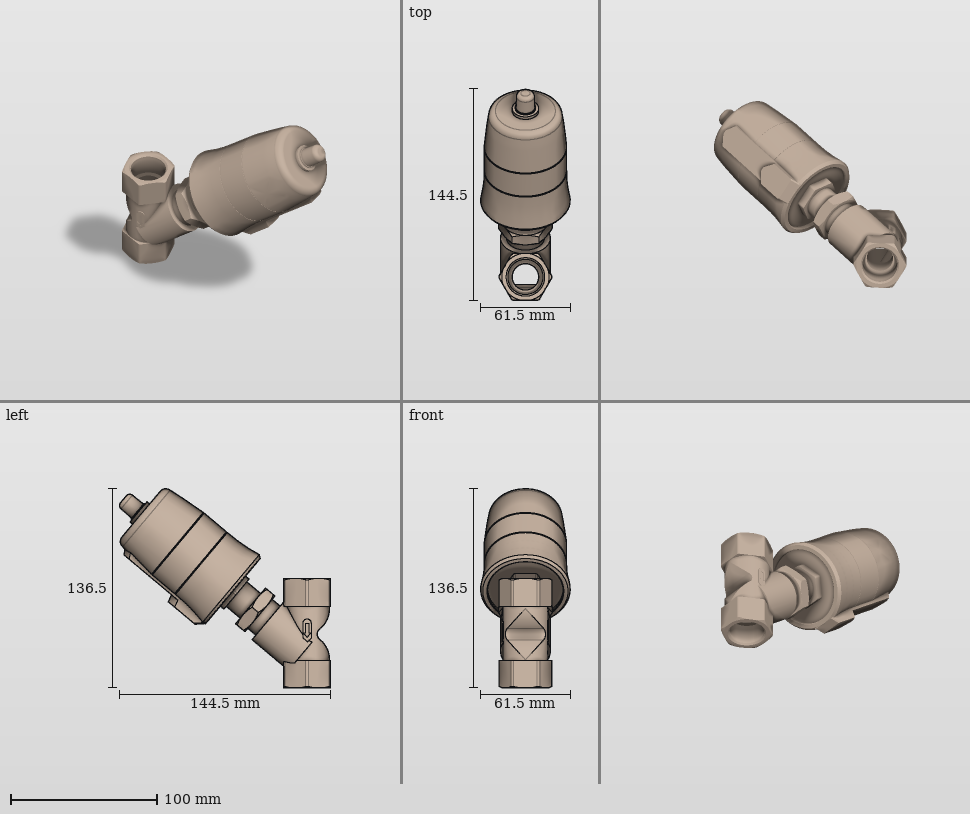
import cadquery as cq
import math

HEX_BEVEL_ANGLE = 30.0
MOUTH_ANGLE = 45.0

VALVE_LENGTH = 75.0
HEX_FLATS = 32.0
HEX_CORNER_FILLET = 2.0
HEX_END_CIRCLE = 32.4
TOP_HEX_LENGTH = 19.2
BOTTOM_HEX_LENGTH = 18.9
CORE_RADIUS = 15.4
BORE_DIAMETER = 18.0
THREAD_DIAMETER = 24.12
THREAD_MOUTH_DIAMETER = 26.4
THREAD_DEPTH = 16.0

WAIST_Z = -0.7
WAIST_HALF_HEIGHT = 17.5
WAIST_SHOULDER_RADIUS = 17.75
WAIST_FLOOR_Y = -7.0
WAIST_VALLEY_Y = -9.0
WAIST_WALL = 1.9

PAD_WIDTH = 5.7
PAD_TOP_Z = 9.7
PAD_POINT_Z = -6.3
PAD_OUTER_X = 15.9
ARROW_TAIL_Z = 6.7
ARROW_BARB_Z = 0.0
ARROW_TIP_Z = -2.9
ARROW_SHAFT_WIDTH = 2.4
ARROW_HEAD_WIDTH = 5.0
ARROW_DEPTH = 0.3

AXIS_RISE_ANGLE = 40.0
AXIS_OFFSET = 10.6

BRANCH_START = -6.6
BRANCH_END = 26.0
NUT_START = 33.2
NUT_END = 41.7
NECK_NUT_START = 54.2
HOUSING_START = 57.4
RIM_EDGE = 59.6
LOWER_JOINT = 86.5
UPPER_JOINT = 107.2
HOUSING_END = 139.5
COLLAR_END = 141.8
SHOULDER_END = 142.6
INDICATOR_END = 155.3

BRANCH_RADIUS = 17.1
BONNET_DIAMETER = 26.0
NECK_DIAMETER = 22.0
NUT_FLATS = 32.0
NECK_NUT_FLATS = 27.0
NECK_NUT_FILLET = 1.7

RIM_RADIUS = 30.75
RIM_FACE_RADIUS = 29.2
BAND_RADIUS = 28.3
CAP_RADIUS = 25.3
CAP_FILLET = 4.75
UPPER_BULGE = 0.3
LOWER_SAG = 0.75
JOINT_WIDTH = 0.7
JOINT_DEPTH = 0.2
RECESS_DIAMETER = 51.7
RECESS_DEPTH = 2.6
RECESS_CHAMFER = 0.5

COLLAR_DIAMETER = 18.2
SHOULDER_RADIUS = 7.0
INDICATOR_BASE_RADIUS = 6.5
INDICATOR_TIP_RADIUS = 6.1
INDICATOR_FILLET = 3.0

RIDGE_HALF_WIDTH = 8.5
RIDGE_ROOT = 22.0
RIDGE_ROOT_START = 61.0
RIDGE_REACH = 29.0
RIDGE_FOOT_END = 134.5
RIDGE_CREST_END = 130.6
RIDGE_CORNER_LENGTH = 4.2
RIDGE_CORNER_WIDTH = 7.0
BLOCK_REACH = 34.1
BLOCK_CREST_START = 62.6
BLOCK_FOOT_END = 90.0
BLOCK_CREST_END = 86.6
BLOCK_CORNER_LENGTH = 5.5
BLOCK_BEVEL = 0.8


def cylinder(radius, start, end):
    """Cylinder about Z between two heights."""
    return cq.Workplane("XY").workplane(offset=start).circle(radius).extrude(end - start)


def hex_prism(flats, start, end):
    """Hexagonal prism about Z with two corners on the X axis."""
    corner_diameter = flats / math.cos(math.pi / 6)
    return cq.Workplane("XY").workplane(offset=start).polygon(6, corner_diameter).extrude(end - start)


def widening_cone(start_radius, angle, start, end):
    """Solid that widens from start_radius at `start` towards `end`, sloping by `angle` from its base."""
    length = end - start
    widened = start_radius + abs(length) / math.tan(math.radians(angle))
    profile = [(0, start), (start_radius, start), (widened, end), (0, end)]
    return cq.Workplane("XZ").polyline(profile).close().revolve(360, (0, 0), (0, 1))


def valve_hex(outer_z, inner_z):
    """End hexagon of the valve, bevelled at its outer face."""
    start, end = sorted((outer_z, inner_z))
    prism = hex_prism(HEX_FLATS, start, end).edges("|Z").fillet(HEX_CORNER_FILLET)
    return prism.intersect(widening_cone(HEX_END_CIRCLE / 2, HEX_BEVEL_ANGLE, outer_z, inner_z))


def waist_cutter(shift):
    """Waist hollow as a bar along X, moved in +Y by `shift`."""
    outer_y = -CORE_RADIUS
    valley_rise = WAIST_VALLEY_Y - outer_y
    shoulder_drop = math.sqrt(2 * WAIST_SHOULDER_RADIUS * valley_rise - valley_rise**2)
    valley_half = WAIST_HALF_HEIGHT - shoulder_drop
    half_angle = math.asin(shoulder_drop / WAIST_SHOULDER_RADIUS) / 2
    mid_y = outer_y + WAIST_SHOULDER_RADIUS * (1 - math.cos(half_angle))
    mid_z = WAIST_HALF_HEIGHT - WAIST_SHOULDER_RADIUS * math.sin(half_angle)
    clear_y = outer_y - BORE_DIAMETER
    return (
        cq.Workplane("YZ", origin=(0, shift, WAIST_Z))
        .moveTo(clear_y, WAIST_HALF_HEIGHT)
        .lineTo(outer_y, WAIST_HALF_HEIGHT)
        .threePointArc((mid_y, mid_z), (WAIST_VALLEY_Y, valley_half))
        .threePointArc((WAIST_FLOOR_Y, 0), (WAIST_VALLEY_Y, -valley_half))
        .threePointArc((mid_y, -mid_z), (outer_y, -WAIST_HALF_HEIGHT))
        .lineTo(clear_y, -WAIST_HALF_HEIGHT)
        .close()
        .extrude(HEX_FLATS, both=True)
    )


def flow_pads():
    """Round-topped, pointed pads standing slightly proud of both flanks of the core."""
    half = PAD_WIDTH / 2
    return (
        cq.Workplane("YZ")
        .moveTo(half, PAD_TOP_Z - half)
        .threePointArc((0, PAD_TOP_Z), (-half, PAD_TOP_Z - half))
        .lineTo(-half, PAD_POINT_Z + half)
        .lineTo(0, PAD_POINT_Z)
        .lineTo(half, PAD_POINT_Z + half)
        .close()
        .extrude(PAD_OUTER_X, both=True)
    )


def flow_arrows():
    """Arrows pointing down, to be sunk into the faces of both pads."""
    shaft = ARROW_SHAFT_WIDTH / 2
    head = ARROW_HEAD_WIDTH / 2
    half_outline = [
        (shaft, ARROW_TAIL_Z),
        (shaft, ARROW_BARB_Z),
        (head, ARROW_BARB_Z),
        (0, ARROW_TIP_Z),
    ]
    other_half = [(-y, z) for y, z in reversed(half_outline[:-1])]
    arrow = (
        cq.Workplane("YZ", origin=(PAD_OUTER_X - ARROW_DEPTH, 0, 0))
        .polyline(half_outline + other_half)
        .close()
        .extrude(ARROW_DEPTH)
    )
    return arrow.union(arrow.mirror("YZ"))


def flow_passage():
    """Through bore with a threaded mouth at both ends, narrowed by the wall behind the waist."""
    half = VALVE_LENGTH / 2
    passage = cylinder(BORE_DIAMETER / 2, -half, half).cut(waist_cutter(WAIST_WALL))
    mouth_chamfer = (THREAD_MOUTH_DIAMETER - THREAD_DIAMETER) / 2
    top_mouth = (
        cylinder(THREAD_DIAMETER / 2, half - THREAD_DEPTH, half)
        .union(widening_cone(THREAD_DIAMETER / 2, MOUTH_ANGLE, half - mouth_chamfer, half))
    )
    return passage.union(top_mouth).union(top_mouth.mirror("XY"))


def bonnet():
    """Branch tube, bonnet, neck and the two nuts, about local Z."""
    solid = cylinder(BRANCH_RADIUS, BRANCH_START, BRANCH_END)
    solid = solid.union(cylinder(BONNET_DIAMETER / 2, BRANCH_START, NUT_START))
    solid = solid.union(cylinder(NECK_DIAMETER / 2, NUT_START, HOUSING_START + RECESS_DEPTH))

    nut = hex_prism(NUT_FLATS, NUT_START, NUT_END)
    for near, far in ((NUT_START, NUT_END), (NUT_END, NUT_START)):
        nut = nut.intersect(widening_cone(NUT_FLATS / 2, HEX_BEVEL_ANGLE, near, far))

    neck_nut = hex_prism(NECK_NUT_FLATS, NECK_NUT_START, HOUSING_START + RECESS_DEPTH)
    neck_nut = neck_nut.edges("|Z").fillet(NECK_NUT_FILLET)
    return solid.union(nut).union(neck_nut)


def housing():
    """Turned actuator housing with a flared skirt, a straight band and a rounded cap."""
    skirt_mid = ((RIM_RADIUS + BAND_RADIUS) / 2 - LOWER_SAG, (RIM_EDGE + LOWER_JOINT) / 2)
    crown_start = HOUSING_END - CAP_FILLET
    crown_mid = ((BAND_RADIUS + CAP_RADIUS) / 2 + UPPER_BULGE, (UPPER_JOINT + crown_start) / 2)
    fillet_centre_radius = CAP_RADIUS - CAP_FILLET
    fillet_offset = CAP_FILLET * math.cos(math.pi / 4)
    solid = (
        cq.Workplane("XZ")
        .moveTo(0, HOUSING_START)
        .lineTo(RIM_FACE_RADIUS, HOUSING_START)
        .lineTo(RIM_RADIUS, RIM_EDGE)
        .threePointArc(skirt_mid, (BAND_RADIUS, LOWER_JOINT))
        .lineTo(BAND_RADIUS, UPPER_JOINT)
        .threePointArc(crown_mid, (CAP_RADIUS, crown_start))
        .threePointArc(
            (fillet_centre_radius + fillet_offset, crown_start + fillet_offset),
            (fillet_centre_radius, HOUSING_END),
        )
        .lineTo(0, HOUSING_END)
        .close()
        .revolve(360, (0, 0), (0, 1))
    )
    for joint in (LOWER_JOINT, UPPER_JOINT):
        start = joint - JOINT_WIDTH / 2
        end = joint + JOINT_WIDTH / 2
        ring = cylinder(RIM_RADIUS, start, end).cut(cylinder(BAND_RADIUS - JOINT_DEPTH, start, end))
        solid = solid.cut(ring)
    return solid


def housing_recess():
    """Shallow chamfered recess in the underside of the housing."""
    radius = RECESS_DIAMETER / 2
    recess = cylinder(radius, HOUSING_START, HOUSING_START + RECESS_DEPTH)
    mouth = widening_cone(radius, MOUTH_ANGLE, HOUSING_START + RECESS_CHAMFER, HOUSING_START)
    return recess.union(mouth)


def ridge_bar(outline, corner_length):
    """Bar extruded across X, with both corners cut off along its sloping upper end."""
    bar = cq.Workplane("YZ").polyline(outline).close().extrude(RIDGE_HALF_WIDTH, both=True)
    return bar.edges(edges_along(outline[1], outline[2])).chamfer(RIDGE_CORNER_WIDTH, corner_length)


def bevel_block(bar, start, end):
    """Small bevel on both flanks of the face that joins the block to the rim."""
    return bar.edges(edges_along(start, end)).chamfer(BLOCK_BEVEL)


def edges_along(start, end):
    """Selector for edges parallel to the line between two outline points."""
    return cq.selectors.ParallelDirSelector(cq.Vector(0, end[0] - start[0], end[1] - start[1]))


def port_ridge():
    """Long low ridge with a taller block beside the rim."""
    low = [
        (RIDGE_ROOT, RIDGE_ROOT_START),
        (RIDGE_ROOT, RIDGE_FOOT_END),
        (RIDGE_REACH, RIDGE_CREST_END),
        (RIDGE_REACH, HOUSING_START),
    ]
    tall = [
        (RIDGE_ROOT, RIDGE_ROOT_START),
        (RIDGE_ROOT, BLOCK_FOOT_END),
        (BLOCK_REACH, BLOCK_CREST_END),
        (BLOCK_REACH, BLOCK_CREST_START),
        (RIDGE_REACH, HOUSING_START),
    ]
    low_bar = ridge_bar(low, RIDGE_CORNER_LENGTH)
    tall_bar = ridge_bar(tall, BLOCK_CORNER_LENGTH)
    return low_bar.union(bevel_block(tall_bar, tall[3], tall[4]))


def indicator():
    """Collar, shoulder and tapered, round-ended indicator stem."""
    stem = (
        cq.Workplane("XZ")
        .polyline([
            (0, HOUSING_END),
            (INDICATOR_BASE_RADIUS, HOUSING_END),
            (INDICATOR_TIP_RADIUS, INDICATOR_END),
            (0, INDICATOR_END),
        ])
        .close()
        .revolve(360, (0, 0), (0, 1))
        .faces(">Z").edges().fillet(INDICATOR_FILLET)
    )
    collar = cylinder(COLLAR_DIAMETER / 2, HOUSING_END, COLLAR_END)
    shoulder = cylinder(SHOULDER_RADIUS, HOUSING_END, SHOULDER_END)
    return stem.union(collar).union(shoulder)


def place_on_axis(solid):
    """Tilt a solid from local Z onto the actuator axis; local +Y becomes the underside."""
    rise = math.radians(AXIS_RISE_ANGLE)
    tilted = solid.rotate((0, 0, 0), (1, 0, 0), AXIS_RISE_ANGLE - 90)
    return tilted.translate((0, AXIS_OFFSET * math.sin(rise), -AXIS_OFFSET * math.cos(rise)))


valve_top = VALVE_LENGTH / 2
top_hex = valve_hex(valve_top, valve_top - TOP_HEX_LENGTH)
bottom_hex = valve_hex(-valve_top, BOTTOM_HEX_LENGTH - valve_top)
core = cylinder(CORE_RADIUS, BOTTOM_HEX_LENGTH - valve_top, valve_top - TOP_HEX_LENGTH)
core = core.union(flow_pads())

actuator = housing().union(port_ridge()).cut(housing_recess())
actuator = actuator.union(bonnet()).union(indicator())

valve_body = core.union(top_hex).union(bottom_hex)
result = (
    valve_body.union(place_on_axis(actuator))
    .cut(waist_cutter(0))
    .cut(flow_passage())
    .cut(flow_arrows())
)